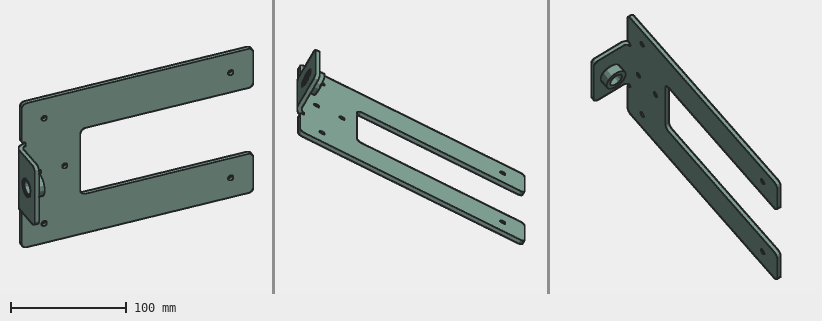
import cadquery as cq

thickness = 4.0
inner_bend_radius = 4.0
bend_radius = inner_bend_radius + thickness
corner_radius = 5.0

length = 225.0
height = 147.4
plate_front = 4.0
window_front = 60.0
window_height = 67.3
hole_diameter = 5.0
corner_hole_ys = (25.6, 203.5)
corner_hole_z = 53.8
center_hole_ys = (20.2, 45.2)

tab_width = 40.0
tab_height = 60.0
relief_width = 4.0
relief_radius = relief_width / 2

bush_x = 22.5
bush_diameter = 20.5
bush_height = 8.8
bore_diameter = 12.5
recess_diameter = 16.6
recess_depth = 1.1


def plate_box(y_start, y_end, z_size, z_center=0):
    """Block through the plate thickness, centred on z_center."""
    return (
        cq.Workplane("XY")
        .box(thickness, y_end - y_start, z_size, centered=(False, False, True))
        .translate((0, y_start, z_center))
    )


def make_plate():
    plate = plate_box(plate_front, length, height).edges("|X").fillet(corner_radius)
    window = plate_box(window_front, length, window_height)
    window = window.edges("|X and <Y").fillet(corner_radius)
    plate = plate.cut(window)

    tips = cq.selectors.BoxSelector(
        (-thickness, length - thickness, -window_height / 2 - thickness),
        (2 * thickness, length + thickness, window_height / 2 + thickness),
    )
    plate = plate.edges("|X").edges(tips).fillet(corner_radius)

    notch_height = tab_height + 2 * relief_width
    plate = plate.cut(plate_box(plate_front, bend_radius, notch_height))
    mouths = cq.selectors.BoxSelector(
        (-thickness, 0, -notch_height / 2 - relief_width),
        (2 * thickness, plate_front + relief_radius / 2, notch_height / 2 + relief_width),
    )
    plate = plate.edges("|X").edges(mouths).fillet(relief_radius)

    for side in (-1, 1):
        relief_z = side * (tab_height + relief_width) / 2
        end_y = bend_radius - relief_radius
        filler = plate_box(end_y, bend_radius, relief_width, relief_z)
        round_end = (
            cq.Workplane("YZ")
            .center(end_y, relief_z)
            .circle(relief_radius)
            .extrude(thickness)
        )
        plate = plate.union(filler.cut(round_end))

    points = [(y, side * corner_hole_z) for y in corner_hole_ys for side in (-1, 1)]
    points += [(y, 0) for y in center_hole_ys]
    holes = cq.Workplane("YZ").pushPoints(points).circle(hole_diameter / 2).extrude(thickness)
    return plate.cut(holes)


def make_tab():
    diagonal = 0.5 ** 0.5
    outer_mid = bend_radius * (1 - diagonal)
    inner_mid = bend_radius - inner_bend_radius * diagonal
    tab = (
        cq.Workplane("XY")
        .moveTo(0, bend_radius)
        .threePointArc((outer_mid, outer_mid), (bend_radius, 0))
        .lineTo(tab_width, 0)
        .lineTo(tab_width, thickness)
        .lineTo(bend_radius, thickness)
        .threePointArc((inner_mid, inner_mid), (thickness, bend_radius))
        .close()
        .extrude(tab_height / 2, both=True)
    )
    return tab.edges("|Y and >X").fillet(corner_radius)


def bush_cylinder(diameter, y_start, y_end):
    """Cylinder along Y on the bush axis."""
    return (
        cq.Workplane("XZ", origin=(bush_x, y_start, 0))
        .circle(diameter / 2)
        .extrude(y_start - y_end)
    )


bush_end = thickness + bush_height
result = make_plate().union(make_tab())
result = result.union(bush_cylinder(bush_diameter, thickness, bush_end))
result = result.cut(bush_cylinder(recess_diameter, 0, recess_depth))
result = result.cut(bush_cylinder(bore_diameter, 0, bush_end))